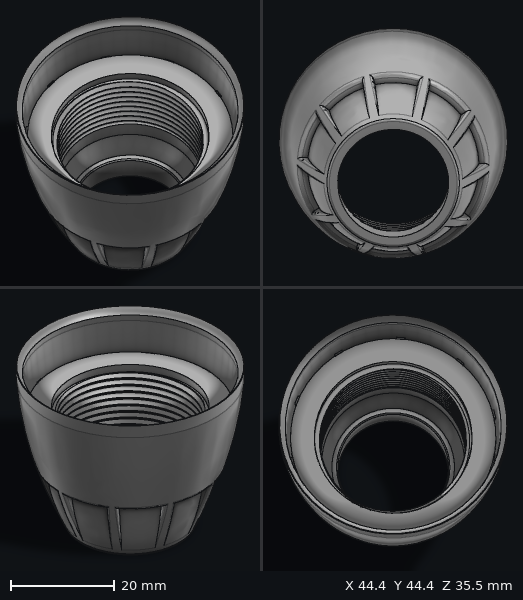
import cadquery as cq
import math

height = 35.45
rim_radius = 22.2
rim_bottom = 32.8
waist_radius = 19.75
waist_height = 18.5
foot_top_radius = 12.85
foot_round = 0.45

rim_land = 0.15
mouth_radius = 20.95
wall_middle_radius = 20.55
mouth_flare_depth = 1.4
mouth_flare_sag = 0.12
seat_height = 23.3
seat_radius = 19.93
socket_bottom = 12.1
socket_radius = 15.6
relief_top_radius = 14.05
relief_height = 3.0
cone_top_radius = 13.85
cone_bottom_radius = 11.9
cone_height = 4.0
bore_radius = 10.75
bore_chamfer = 0.25

rib_count = 10
rib_width = 2.2
window_bottom = 1.7
window_top = 13.9
window_lip_rounding = 1.0
window_floor_top_radius = 16.65
window_floor_middle_radius = 15.6
rib_round_top = 0.65
rib_round_bottom = 0.3
rib_section_count = 4
rib_overreach = 1.0

flange_top = 26.25
recess_radius = 15.3
recess_depth = 1.65
key_width = 1.7
key_drop = 0.3
pitch = 1.5
thread_major_radius = 15.0
thread_minor_radius = 14.19
root_flat_share = 1 / 8
crest_flat_share = 1 / 8
thread_run_in = 2.02
thread_run_out = 0.98
thread_overrun = 0.2

profile_plane = cq.Plane(origin=(0, 0, 0), xDir=(0, -1, 0), normal=(-1, 0, 0))
rib_pitch = 360 / rib_count
rib_angles = [90 + rib_pitch * i for i in range(rib_count)]
quarter_turn_middle = math.sqrt(0.5)


def profile(radius, z):
    return cq.Workplane(profile_plane).moveTo(radius, z)


def revolve(outline):
    return outline.close().revolve(360, (0, 0, 0), (0, 1, 0))


def side_arc():
    """Centre radius, centre height and radius of the arc through foot, waist and rim."""
    mid_r = (foot_top_radius + rim_radius) / 2
    mid_z = (foot_round + rim_bottom) / 2
    chord_r = rim_radius - foot_top_radius
    chord_z = rim_bottom - foot_round
    half_chord = math.hypot(chord_r, chord_z) / 2
    normal_r = chord_z / (2 * half_chord)
    normal_z = -chord_r / (2 * half_chord)
    to_waist_r = waist_radius - mid_r
    to_waist_z = waist_height - mid_z
    along = to_waist_r * normal_r + to_waist_z * normal_z
    offset = (to_waist_r**2 + to_waist_z**2 - half_chord**2) / (2 * along)
    arc_r = mid_r + offset * normal_r
    arc_z = mid_z + offset * normal_z
    return arc_r, arc_z, math.hypot(waist_radius - arc_r, waist_height - arc_z)


arc_centre_radius, arc_centre_height, arc_radius = side_arc()


def side_radius(z):
    """Outer radius of the curved wall at height z."""
    return arc_centre_radius + math.sqrt(arc_radius**2 - (z - arc_centre_height) ** 2)


def cup_envelope():
    foot_middle = foot_round * (1 - quarter_turn_middle)
    return revolve(
        profile(0, 0)
        .lineTo(foot_top_radius - foot_round, 0)
        .threePointArc((foot_top_radius - foot_middle, foot_middle), (foot_top_radius, foot_round))
        .threePointArc((waist_radius, waist_height), (rim_radius, rim_bottom))
        .lineTo(rim_radius, height)
        .lineTo(0, height)
    )


def cup_cavity():
    cone_top = socket_bottom - relief_height
    cone_bottom = cone_top - cone_height
    rim_edge = rim_radius - rim_land
    flare_width = rim_edge - mouth_radius
    flare_length = math.hypot(flare_width, mouth_flare_depth)
    flare_middle = (
        mouth_radius + flare_width / 2 + mouth_flare_sag * mouth_flare_depth / flare_length,
        height - mouth_flare_depth / 2 - mouth_flare_sag * flare_width / flare_length,
    )
    return revolve(
        profile(0, 0)
        .lineTo(bore_radius, 0)
        .lineTo(bore_radius, cone_bottom - bore_chamfer)
        .lineTo(bore_radius + bore_chamfer, cone_bottom)
        .lineTo(cone_bottom_radius, cone_bottom)
        .lineTo(cone_top_radius, cone_top)
        .lineTo(relief_top_radius, socket_bottom)
        .lineTo(socket_radius, socket_bottom)
        .lineTo(socket_radius, seat_height)
        .lineTo(seat_radius, seat_height)
        .threePointArc(
            (wall_middle_radius, (seat_height + rim_bottom) / 2), (mouth_radius, rim_bottom)
        )
        .lineTo(mouth_radius, height - mouth_flare_depth)
        .threePointArc(flare_middle, (rim_edge, height))
        .lineTo(0, height)
    )


def rib_body():
    """One rib along +X: its edges are rounded, less and less toward the foot."""
    outer = rim_radius + rib_overreach
    half = rib_width / 2
    step = (window_top + window_lip_rounding - window_bottom) / (rib_section_count - 1)
    sections = cq.Workplane("XY")
    level = 0
    for i in range(rib_section_count):
        z = window_bottom + step * i
        share = i / (rib_section_count - 1)
        rounding = rib_round_bottom + (rib_round_top - rib_round_bottom) * share
        crest = side_radius(z)
        flat = half - rounding
        middle = rounding * (1 - quarter_turn_middle)
        sections = (
            sections.workplane(offset=z - level)
            .moveTo(bore_radius, -half)
            .lineTo(crest - rounding, -half)
            .threePointArc((crest - middle, middle - half), (crest, -flat))
            .lineTo(outer, -flat)
            .lineTo(outer, flat)
            .lineTo(crest, flat)
            .threePointArc((crest - middle, half - middle), (crest - rounding, half))
            .lineTo(bore_radius, half)
            .close()
        )
        level = z
    return sections.loft()


def window():
    """The window between the rib along +X and the next rib."""
    lip_height = window_top + window_lip_rounding
    lip_distance = arc_radius - window_lip_rounding
    lip_angle = math.asin((lip_height - arc_centre_height) / lip_distance)
    lip_radius = arc_centre_radius + lip_distance * math.cos(lip_angle)
    lip_middle_angle = (lip_angle - math.pi / 2) / 2
    lip_middle = (
        lip_radius + window_lip_rounding * math.cos(lip_middle_angle),
        lip_height + window_lip_rounding * math.sin(lip_middle_angle),
    )
    lip_end = (
        lip_radius + window_lip_rounding * math.cos(lip_angle),
        lip_height + window_lip_rounding * math.sin(lip_angle),
    )
    outline = (
        profile(side_radius(window_bottom), window_bottom)
        .threePointArc(
            (window_floor_middle_radius, (window_bottom + window_top) / 2),
            (window_floor_top_radius, window_top),
        )
        .lineTo(lip_radius, window_top)
        .threePointArc(lip_middle, lip_end)
        .lineTo(rim_radius, lip_end[1])
        .lineTo(rim_radius, window_bottom)
        .close()
    )
    sector = outline.revolve(rib_pitch, (0, 0, 0), (0, 1, 0)).rotate((0, 0, 0), (0, 0, 1), 90)
    rib = rib_body()
    return sector.cut(rib).cut(rib.rotate((0, 0, 0), (0, 0, 1), rib_pitch))


def thread_groove():
    """Helical thread groove: a solid between four helical faces and two end caps."""
    root_half = pitch * root_flat_share / 2
    mouth_half = pitch * (1 - crest_flat_share) / 2
    flank_slope = (mouth_half - root_half) / (thread_major_radius - thread_minor_radius)
    inner_radius = thread_minor_radius - thread_overrun
    inner_half = mouth_half + thread_overrun * flank_slope
    start = socket_bottom - thread_run_in
    length = flange_top - recess_depth + thread_run_out - start
    corners = [
        (inner_radius, -inner_half),
        (thread_major_radius, -root_half),
        (thread_major_radius, root_half),
        (inner_radius, inner_half),
    ]
    helices = [
        cq.Wire.makeHelix(pitch, length, radius, cq.Vector(0, 0, start + rise)).Edges()[0]
        for radius, rise in corners
    ]
    faces = [cq.Face.makeRuledSurface(helices[i - 1], helices[i]) for i in range(len(helices))]
    for end in (0, 1):
        cap = cq.Wire.makePolygon([helix.positionAt(end) for helix in helices], close=True)
        faces.append(cq.Face.makeFromWires(cap))
    return cq.Workplane(obj=cq.Solid.makeSolid(cq.Shell.makeShell(faces)))


def flange_key():
    """A key along +X that bridges the gap between the flange and the cup wall."""
    key_height = flange_top - key_drop - seat_height
    return (
        cq.Workplane("XY", origin=(socket_radius, 0, seat_height))
        .box(mouth_radius - socket_radius, key_width, key_height, centered=(False, True, False))
        .intersect(cup_cavity())
    )


def insert_blank():
    return revolve(
        profile(thread_minor_radius, socket_bottom)
        .lineTo(socket_radius, socket_bottom)
        .lineTo(socket_radius, seat_height)
        .lineTo(seat_radius, seat_height)
        .lineTo(seat_radius, flange_top)
        .lineTo(recess_radius, flange_top)
        .lineTo(recess_radius, flange_top - recess_depth)
        .lineTo(thread_minor_radius, flange_top - recess_depth)
    )


cup = cup_envelope().cut(cup_cavity())
grip_window = window()
for angle in rib_angles:
    cup = cup.cut(grip_window.rotate((0, 0, 0), (0, 0, 1), angle))

insert = insert_blank().cut(thread_groove())
key = flange_key()
for angle in rib_angles:
    insert = insert.union(key.rotate((0, 0, 0), (0, 0, 1), angle))

result = cq.Compound.makeCompound([cup.val(), insert.val()])